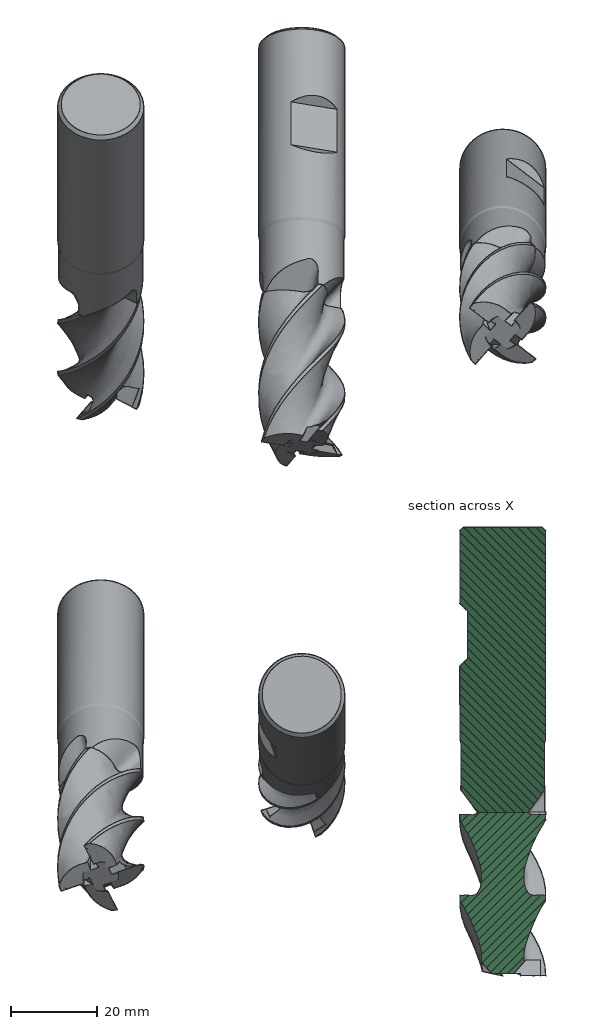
import math

import cadquery as cq


total_length = 104.0
shank_radius = 10.0
cutter_length = 38.0
neck_radius = 9.8
neck_top = 54.0
neck_taper_height = 0.7
shank_chamfer = 0.8

flute_count = 4
flute_angle = 360 / flute_count
helix_lead = 74.9
cutter_twist = 360 * cutter_length / helix_lead

land_angle = 6.5
rake_inner = (7.5, 0)
floor_middle = (5.0, -1.0)
floor_start = (4.5, -2.9)
back_middle = (3.6, -6.5)
cutting_edge = (shank_radius, 0)

runout_slope = 0.8
runout_height = 12.5

flat_depth = 1.8
flat_length = 11.0
flat_centre = total_length - 25.0

end_relief_angle = 12
gash_height = 3.7
gash_rake_run = 3.3
gash_wall_run = 1.4
gash_width = 1.7
gash_inner = 2.1
gash_outer = 8.7
gash_floor_outer = 5.4
centre_recess_radius = 4.2
centre_recess_depth = 0.5

overshoot = 2.1
clear_radius = shank_radius + overshoot


def on_circle(radius, angle):
    """Point at an angle in degrees from +X."""
    turn = math.radians(angle)
    return (radius * math.cos(turn), radius * math.sin(turn))


def turned(point, angle):
    """Point turned about the axis by an angle in degrees."""
    return on_circle(math.hypot(*point), angle + math.degrees(math.atan2(point[1], point[0])))


land_end = on_circle(shank_radius, land_angle - flute_angle)


def around_axis(shape):
    """Copies of a shape, one for each flute."""
    return [shape.rotate((0, 0, 0), (0, 0, 1), i * flute_angle) for i in range(flute_count)]


def cutter_section():
    """Four teeth, each with a land, a convex back, a concave flute floor and a radial rake face."""
    section = cq.Workplane("XY").moveTo(*turned(cutting_edge, -flute_angle))
    for i in range(flute_count):
        turn = i * flute_angle
        land_middle = on_circle(shank_radius, land_angle / 2 - flute_angle + turn)
        section = (
            section.threePointArc(land_middle, turned(land_end, turn))
            .threePointArc(turned(back_middle, turn), turned(floor_start, turn))
            .threePointArc(turned(floor_middle, turn), turned(rake_inner, turn))
            .lineTo(*turned(cutting_edge, turn))
        )
    return section.close()


def end_relief():
    """Wedge that slopes a tooth's end face up behind its cutting edge."""
    rise = clear_radius * math.tan(math.radians(end_relief_angle))
    return (
        cq.Workplane("YZ")
        .polyline([(0, 0), (clear_radius, rise), (clear_radius, -overshoot), (0, -overshoot)])
        .close()
        .extrude(clear_radius)
        .val()
    )


def gash():
    """Notch in front of a tooth's end cutting edge, with a slanting rake face.

    Its floor climbs outward from the tip near the axis, then runs level to the gash's outer end.
    """
    wall_top = gash_wall_run - gash_width
    across = (
        cq.Workplane("YZ", origin=(gash_inner, 0, 0))
        .polyline([(0, 0), (gash_rake_run, gash_height), (wall_top, gash_height), (-gash_width, 0)])
        .close()
        .extrude(gash_outer - gash_inner)
    )
    along = (
        cq.Workplane("XZ")
        .polyline([(gash_inner, 0), (gash_floor_outer, gash_height), (gash_outer, gash_height), (gash_outer, 0)])
        .close()
        .extrude(clear_radius, both=True)
    )
    return across.intersect(along).val()


def make_cutter():
    cutter = cutter_section().twistExtrude(cutter_length, cutter_twist)
    for cut in around_axis(end_relief()) + around_axis(gash()):
        cutter = cutter.cut(cq.Workplane(cut))
    return cutter.cut(cq.Workplane("XY").circle(centre_recess_radius).extrude(centre_recess_depth))


def flute_runout():
    """Space of one flute, carried on from the cutter's upper end in a straight slanting line."""
    outline = (
        cq.Workplane("XY")
        .moveTo(*land_end)
        .threePointArc(back_middle, floor_start)
        .threePointArc(floor_middle, rake_inner)
        .lineTo(clear_radius, 0)
        .lineTo(clear_radius, -clear_radius)
        .lineTo(land_end[0], -clear_radius)
        .close()
        .val()
    )
    path = cq.Vector(runout_slope * runout_height, 0, runout_height)
    space = cq.Solid.extrudeLinear(outline, [], path)
    return space.rotate((0, 0, 0), (0, 0, 1), cutter_twist).translate(cq.Vector(0, 0, cutter_length))


def clamping_flat():
    """Flat on the +Y side with 45 degree ends."""
    half_floor = flat_length / 2
    half_mouth = half_floor + flat_depth + overshoot
    floor_y = shank_radius - flat_depth
    outline = [
        (floor_y, -half_floor),
        (floor_y, half_floor),
        (clear_radius, half_mouth),
        (clear_radius, -half_mouth),
    ]
    return (
        cq.Workplane("YZ", origin=(0, 0, flat_centre))
        .polyline(outline)
        .close()
        .extrude(shank_radius, both=True)
    )


def make_shank():
    shank = (
        cq.Workplane("XZ")
        .moveTo(0, cutter_length)
        .lineTo(neck_radius, cutter_length)
        .lineTo(neck_radius, neck_top)
        .lineTo(shank_radius, neck_top + neck_taper_height)
        .lineTo(shank_radius, total_length)
        .lineTo(0, total_length)
        .close()
        .revolve(360, (0, 0), (0, 1))
        .faces(">Z")
        .chamfer(shank_chamfer)
        .cut(clamping_flat())
    )
    for runout in around_axis(flute_runout()):
        shank = shank.cut(cq.Workplane(runout))
    return shank


cutter = make_cutter()
shank = make_shank()

result = cq.Compound.makeCompound([cutter.val(), shank.val()])